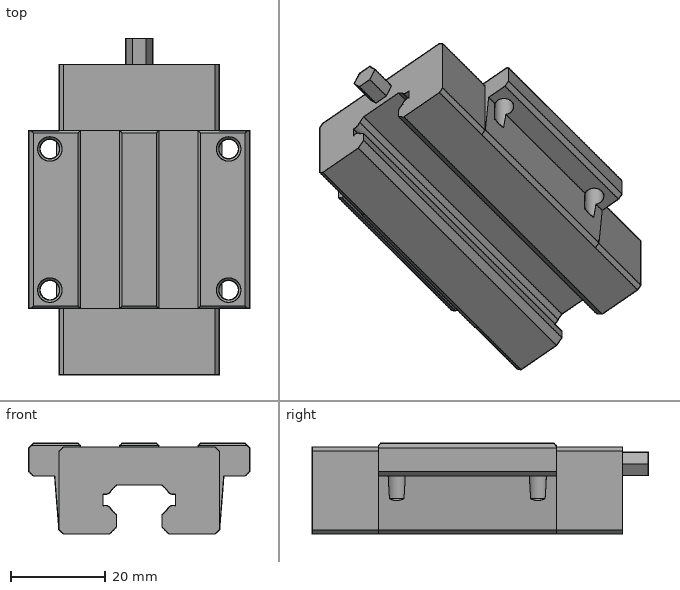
import cadquery as cq
import math


carriage_height = 19.3
flange_width = 47.0
overall_length = 71.5
caps_length = 66.0
block_length = 37.8

flange_underside = 12.3
flange_chamfer = 1.0
wall_top_half_width = 18.0
wall_bottom_half_width = 17.1

side_pad_inner_x = 12.5
middle_pad_width = 8.3
pad_chamfer = 0.5
recess_floor = 18.3

cap_width = 34.0
cap_top = 18.5
cap_chamfer = 0.9

hole_diameter = 4.13
hole_mouth_diameter = 5.2
hole_spacing_x = 38.0
hole_spacing_y = 30.0
hole_bottom = 7.5
drill_point_angle = 118.0

channel_half_width = 4.8
channel_top = 10.4
channel_mouth_chamfer = 1.5
race_half_width = 7.65
race_bottom = 6.05
race_top = 8.45
race_curve_width = 1.75
race_curve_drop = 0.9
race_curve_middle_width = 1.2
race_curve_middle_drop = 0.2

nipple_across_flats = 5.0
nipple_axis_height = 14.9
nipple_length = overall_length - caps_length


def extrude_along_y(outline, length):
    """Extrude an outline drawn in XZ by the given length, centred on Y = 0."""
    return outline.extrude(length / 2, both=True)


def mirrored_outline(right_side):
    """Close a right-hand half outline with its mirror image about X = 0."""
    left_side = [(-x, z) for x, z in reversed(right_side)]
    return cq.Workplane("XZ").polyline(right_side + left_side).close()


def make_steel_block():
    """Flanged block with three raised pads along its top."""
    half_width = flange_width / 2
    half_middle_pad = middle_pad_width / 2
    right_side = [
        (cap_width / 2 - cap_chamfer, 0),
        (wall_bottom_half_width, cap_chamfer),
        (wall_top_half_width, flange_underside),
        (half_width - flange_chamfer, flange_underside),
        (half_width, flange_underside + flange_chamfer),
        (half_width, carriage_height - flange_chamfer),
        (half_width - flange_chamfer, carriage_height),
        (side_pad_inner_x, carriage_height),
        (side_pad_inner_x, recess_floor),
        (half_middle_pad, recess_floor),
        (half_middle_pad, carriage_height),
    ]
    block = extrude_along_y(mirrored_outline(right_side), block_length)
    return block.faces(">Z").edges("not (<X or >X)").chamfer(pad_chamfer)


def make_end_cap(side):
    """Block at one end of the steel block; side is -1 for the -Y end and 1 for the +Y end."""
    cap_length = (caps_length - block_length) / 2
    cap_centre_y = side * (block_length + cap_length) / 2
    cap = cq.Workplane("XY").box(cap_width, cap_length, cap_top, centered=(True, True, False))
    return cap.edges("|Y").chamfer(cap_chamfer).translate((0, cap_centre_y, 0))


def make_grease_nipple():
    across_corners = nipple_across_flats / math.cos(math.pi / 6)
    return (
        cq.Workplane("XZ", origin=(0, caps_length / 2, nipple_axis_height))
        .polygon(6, across_corners)
        .extrude(-nipple_length)
    )


def make_rail_channel():
    """Rail opening with a ball race on each side, its flanks curving towards the rail."""
    mouth_x = channel_half_width + channel_mouth_chamfer
    crease_x = race_half_width - race_curve_width
    curve_middle_x = race_half_width - race_curve_middle_width
    lower_crease_z = race_bottom - race_curve_drop
    upper_crease_z = race_top + race_curve_drop
    lower_middle = (curve_middle_x, race_bottom - race_curve_middle_drop)
    upper_middle = (curve_middle_x, race_top + race_curve_middle_drop)
    lower_lip_z = lower_crease_z - (crease_x - channel_half_width)
    right_half = (
        cq.Workplane("XZ")
        .moveTo(0, 0)
        .lineTo(mouth_x, 0)
        .lineTo(channel_half_width, channel_mouth_chamfer)
        .lineTo(channel_half_width, lower_lip_z)
        .lineTo(crease_x, lower_crease_z)
        .threePointArc(lower_middle, (race_half_width, race_bottom))
        .lineTo(race_half_width, race_top)
        .threePointArc(upper_middle, (crease_x, upper_crease_z))
        .lineTo(channel_half_width, channel_top)
        .lineTo(0, channel_top)
        .close()
    )
    half_channel = extrude_along_y(right_half, caps_length)
    return half_channel.union(half_channel.mirror("YZ"))


def make_mounting_hole(x, y):
    """Blind drilled hole with a chamfered mouth, cutting a groove into the side wall."""
    radius = hole_diameter / 2
    mouth_radius = hole_mouth_diameter / 2
    mouth_depth = mouth_radius - radius
    point_depth = radius / math.tan(math.radians(drill_point_angle / 2))
    half_section = [
        (0, hole_bottom - point_depth),
        (radius, hole_bottom),
        (radius, carriage_height - mouth_depth),
        (mouth_radius, carriage_height),
        (0, carriage_height),
    ]
    hole = cq.Workplane("XZ").polyline(half_section).close().revolve(360, (0, 0, 0), (0, 1, 0))
    return hole.translate((x, y, 0))


result = make_steel_block().union(make_end_cap(-1)).union(make_end_cap(1))
result = result.union(make_grease_nipple()).cut(make_rail_channel())
for hole_x in (-hole_spacing_x / 2, hole_spacing_x / 2):
    for hole_y in (-hole_spacing_y / 2, hole_spacing_y / 2):
        result = result.cut(make_mounting_hole(hole_x, hole_y))